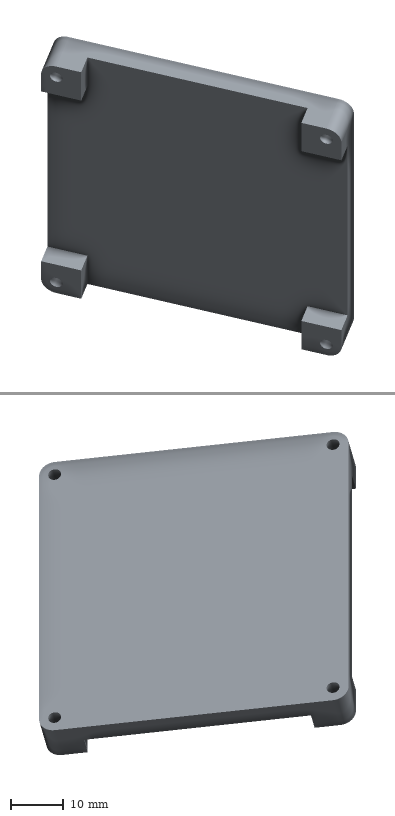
import cadquery as cq

height = 64.0
width = 59.95
depth = 8.0
plate_thickness = depth / 2
pad_size = 8.0
corner_radius = 3.0
hole_inset = corner_radius
hole_diameter = 2.5


def make_block():
    """Full-depth block, centred at the origin, with corners rounded along Y."""
    return cq.Workplane("XY").box(width, depth, height).edges("|Y").fillet(corner_radius)


def make_channel(size_x, size_z):
    """Clearance in front of the plate, leaving the corner pads standing."""
    center_y = -plate_thickness / 2
    channel_depth = depth - plate_thickness
    return cq.Workplane("XY").box(size_x, channel_depth, size_z).translate((0, center_y, 0))


def make_holes():
    """One through hole at the centre of each corner radius."""
    return (
        cq.Workplane("XZ")
        .rect(width - 2 * hole_inset, height - 2 * hole_inset, forConstruction=True)
        .vertices()
        .circle(hole_diameter / 2)
        .extrude(depth, both=True)
    )


result = (
    make_block()
    .cut(make_channel(width, height - 2 * pad_size))
    .cut(make_channel(width - 2 * pad_size, height))
    .cut(make_holes())
)